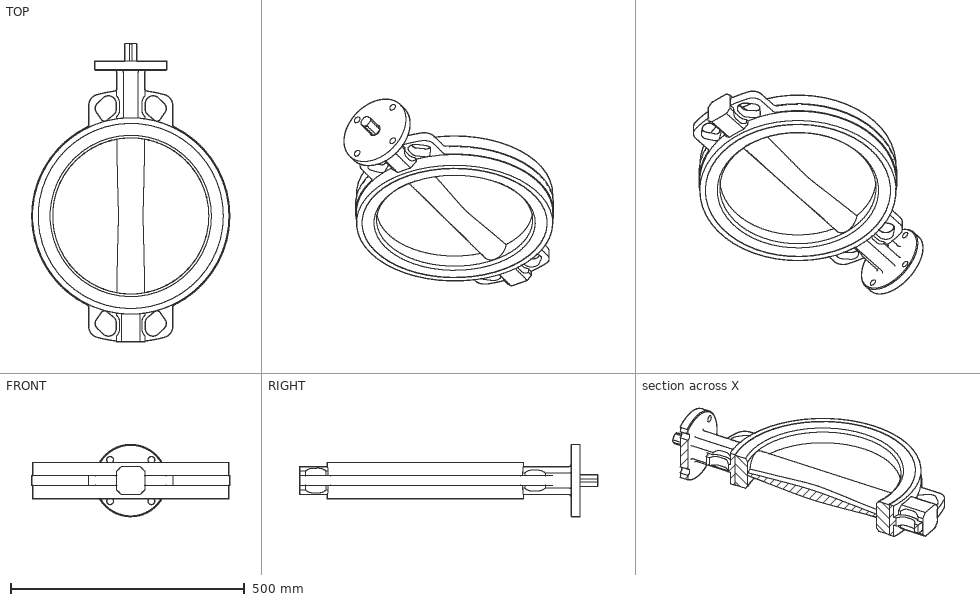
import cadquery as cq
import math


face_to_face = 78
ring_radius = 210
band_radius = 212.1
band_thickness = 21
small_fillet = 5

liner_outer_radius = 198
liner_recess = 1
bore_radius = 167
bore_mouth_radius = 172.5
bore_mouth_depth = 7

hub_radius = 30
disc_rim_half_thickness = 4.2
disc_centre_half_thickness = 16

neck_width = 60
upper_neck_chamfer = 14
lower_neck_chamfer = 10
lower_neck_end = -269

flange_diameter = 155
flange_thickness = 20
flange_top = 331
flange_bottom = flange_top - flange_thickness
flange_chamfer = 2
flange_root_fillet = 4
flange_bolt_circle = 125
flange_hole_diameter = 14

lug_half_width = 90
lug_end_radius = 269.5
lug_corner_radius = 24
nut_clearance = 7.6
lug_hole_circles = [
    (61.6, 230, 14.3),
    (47.8, 240.3, 16.5),
    (45.5, 228, 14.3),
    (56, 211, 8),
]

shaft_diameter = 26
shaft_square = 22
shaft_top = 369
shaft_end_chamfer = 1
shaft_bottom = 80


def cylinder_z(radius, height):
    """Cylinder about Z, centred on the middle plane."""
    return cq.Workplane("XY").circle(radius).extrude(height / 2, both=True)


def section_at(y):
    """Workplane at height y along the shaft axis; extruding goes towards +Y."""
    return cq.Workplane("XZ", origin=(0, y, 0)).transformed(rotate=(180, 0, 0))


def wrapped_outline(circles):
    """Closed outline of arcs and outer tangent lines around circles listed counterclockwise."""
    normals = []
    for (x0, y0, r0), (x1, y1, r1) in zip(circles, circles[1:] + circles[:1]):
        direction = math.atan2(y1 - y0, x1 - x0)
        tilt = math.asin((r0 - r1) / math.hypot(x1 - x0, y1 - y0))
        normals.append(direction - math.pi / 2 + tilt)

    def on_circle(circle, angle):
        x, y, r = circle
        return (x + r * math.cos(angle), y + r * math.sin(angle))

    outline = cq.Workplane("XY").moveTo(*on_circle(circles[0], normals[-1]))
    for i, circle in enumerate(circles):
        sweep = (normals[i] - normals[i - 1]) % (2 * math.pi)
        middle = on_circle(circle, normals[i - 1] + sweep / 2)
        outline = outline.threePointArc(middle, on_circle(circle, normals[i]))
        next_circle = circles[(i + 1) % len(circles)]
        if i < len(circles) - 1:
            outline = outline.lineTo(*on_circle(next_circle, normals[i]))
    return outline.close()


def in_all_quadrants(shape):
    """The shape with its mirror images across the planes X = 0 and Y = 0."""
    pair = shape.union(shape.mirror("YZ"))
    return pair.union(pair.mirror("XZ"))


def lug_hole(clearance):
    """Column through all four lugs with the hole outline grown by the clearance."""
    circles = [(x, y, r + clearance) for x, y, r in lug_hole_circles]
    column = wrapped_outline(circles).extrude(face_to_face / 2, both=True)
    return in_all_quadrants(column)


def edges_near(plate, x, y):
    """Upright edges of the plate at (x, y) and its mirror place across X = 0."""
    reach = 3
    selected = plate.newObject([])
    for side_x in (x, -x):
        low_corner = (side_x - reach, y - reach, -reach)
        high_corner = (side_x + reach, y + reach, reach)
        selected = selected.add(plate.edges(cq.selectors.BoxSelector(low_corner, high_corner)))
    return selected


def make_lug_plate():
    """Middle band of the ring with its four lugs."""
    strip = cq.Workplane("XY").rect(2 * lug_half_width, -2 * lower_neck_end)
    strip = strip.extrude(band_thickness / 2, both=True)
    lugs = strip.intersect(cylinder_z(lug_end_radius, band_thickness))
    root = cq.Workplane("XY").rect(neck_width, flange_bottom, centered=(True, False))
    root = root.extrude(band_thickness / 2, both=True)
    plate = cylinder_z(band_radius, band_thickness).union(lugs).union(root)

    corner_y = math.sqrt(lug_end_radius**2 - lug_half_width**2)
    side_y = math.sqrt(band_radius**2 - lug_half_width**2)
    root_y = math.sqrt(lug_end_radius**2 - (neck_width / 2) ** 2)
    for sign in (1, -1):
        plate = edges_near(plate, lug_half_width, sign * corner_y).fillet(lug_corner_radius)
        plate = edges_near(plate, lug_half_width, sign * side_y).fillet(small_fillet)
    return edges_near(plate, neck_width / 2, root_y).fillet(small_fillet)


def make_neck(start, end, chamfer):
    neck = section_at(start).rect(neck_width, neck_width).extrude(end - start)
    return neck.edges("|Y").chamfer(chamfer)


def make_flange():
    """Round flange on the upper neck, without its holes."""
    flange = section_at(flange_bottom).circle(flange_diameter / 2).extrude(flange_thickness)
    return flange.faces("<Y").edges().chamfer(flange_chamfer)


def make_flange_holes():
    side = flange_bolt_circle / math.sqrt(2)
    holes = section_at(flange_bottom).rect(side, side, forConstruction=True).vertices()
    return holes.circle(flange_hole_diameter / 2).extrude(flange_thickness)


def shaft_cylinder():
    """Round stretch of the shaft, from its lower end inside the hub to the flange face."""
    return section_at(shaft_bottom).circle(shaft_diameter / 2).extrude(flange_top - shaft_bottom)


def make_upper_neck():
    """Upper neck with its flange, filleted where they meet."""
    neck = make_neck(0, flange_bottom, upper_neck_chamfer).union(make_flange())
    margin = 0.1
    reach = neck_width / 2 + margin
    root = cq.selectors.BoxSelector(
        (-reach, flange_bottom - margin, -reach),
        (reach, flange_bottom + margin, reach),
        boundingbox=True,
    )
    neck = neck.edges(root).fillet(flange_root_fillet)
    return neck.cut(make_flange_holes())


def make_housing():
    ring = cylinder_z(ring_radius, face_to_face)
    necks = make_upper_neck().union(make_neck(lower_neck_end, 0, lower_neck_chamfer))
    necks = necks.cut(lug_hole(nut_clearance))
    lug_plate = make_lug_plate()
    lug_holes = lug_hole(0).cut(ring)
    housing = ring.union(lug_plate).union(necks).cut(lug_holes)
    housing = housing.cut(cylinder_z(liner_outer_radius, face_to_face))
    return housing.cut(shaft_cylinder())


def make_liner():
    half_height = face_to_face / 2 - liner_recess
    mouth_z = half_height - bore_mouth_depth
    profile = [
        (bore_radius, -mouth_z),
        (bore_mouth_radius, -half_height),
        (liner_outer_radius, -half_height),
        (liner_outer_radius, half_height),
        (bore_mouth_radius, half_height),
        (bore_radius, mouth_z),
    ]
    liner = cq.Workplane("XZ").polyline(profile).close().revolve(360, (0, 0), (0, 1))
    return liner.cut(shaft_cylinder())


def make_disc():
    """Double cone with a round hub along the shaft axis, trimmed to the bore."""
    profile = [
        (0, -disc_centre_half_thickness),
        (bore_radius, -disc_rim_half_thickness),
        (bore_radius, disc_rim_half_thickness),
        (0, disc_centre_half_thickness),
    ]
    disc = cq.Workplane("XZ").polyline(profile).close().revolve(360, (0, 0), (0, 1))
    hub = section_at(-bore_radius).circle(hub_radius).extrude(2 * bore_radius)
    hub = hub.intersect(cylinder_z(bore_radius, 2 * hub_radius))
    return disc.union(hub).cut(shaft_cylinder())


def make_shaft():
    """Round shaft with a square end turned 45 degrees, its corners rounded by the shaft diameter."""
    square = section_at(flange_top).transformed(rotate=(0, 0, 45)).rect(shaft_square, shaft_square)
    square = square.extrude(shaft_top - flange_top)
    end = section_at(flange_top).circle(shaft_diameter / 2).extrude(shaft_top - flange_top)
    end = end.faces(">Y").edges().chamfer(shaft_end_chamfer)
    return shaft_cylinder().union(square.intersect(end))


housing = make_housing()
liner = make_liner()
disc = make_disc()
shaft = make_shaft()

result = cq.Compound.makeCompound([housing.val(), liner.val(), disc.val(), shaft.val()])